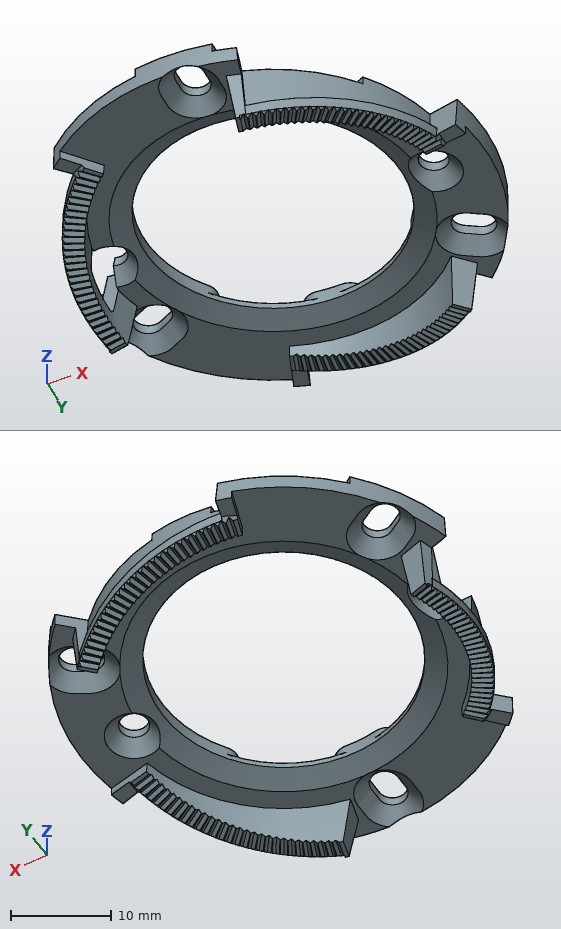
import cadquery as cq
import math

BORE_RADIUS = 14.1
TAB_RADIUS = 23.5
PLATE_THICKNESS = 2.7
BORE_LIP = 1.67
BORE_RELIEF_RADIUS = 16.4
REACH = 60.0
OVERLAP = 0.5
RUN_OUT = 2.0

TAB_COUNT = 3
TAB_SPACING = 360.0 / TAB_COUNT
TAB_CENTRE_ANGLE = 134.66
TAB_SPAN = 59.28
GAP_SPAN = TAB_SPACING - TAB_SPAN
GAP_END_DRAFT = 4.5
GAP_START = TAB_CENTRE_ANGLE + TAB_SPAN / 2.0
GAP_END = GAP_START + GAP_SPAN

OVERALL_HEIGHT = 8.36
SKIRT_BOTTOM = -OVERALL_HEIGHT
SKIRT_INNER_TOP_RADIUS = 18.6
SKIRT_INNER_BOTTOM_RADIUS = 19.05
PILLAR_TOP_RADIUS = 21.4
PILLAR_BOTTOM_RADIUS = 21.1
PILLAR_LEAD = 12.0
PILLAR_WIDTH = 1.3
PILLAR_DRAFT = 9.0
RAMP_RISE = 4.2
RAMP_PITCH = RAMP_RISE * 360.0 / GAP_SPAN
RAMP_OVERRUN = 3.4
GAP_WALL_TOP_RADIUS = 20.0
GAP_WALL_BOTTOM_RADIUS = 20.6

FLANGE_RADIUS = 21.07
FLANGE_THICKNESS = 1.5
FLANGE_CHAMFER = 0.25

RELIEF_INNER_RADIUS = SKIRT_INNER_TOP_RADIUS - 1.0
RELIEF_OUTER_RADIUS = PILLAR_TOP_RADIUS + 1.0
TOOTH_PITCH_ANGLE = 2.25
GROOVE_DEPTH = 0.32
GROOVE_WIDTH = 0.7

BLOCK_DEPTH = 3.66
BLOCK_LEAD = 2.0
BLOCK_INNER_RADIUS = 20.3

RECESS_DEPTH = 1.0
PAD_SIDE_OFFSET = 3.45
PAD_CORNER_RADIUS = 2.0
FLARED_SIDE_OFFSET = 3.47
FLARE_ANGLE = 4.0

HOLE_DIAMETER = 3.1
HOLE_CIRCLE_RADIUS = 17.5
HOLE_ANGLES = (0.0, 180.0)
SLOT_CIRCLE_RADIUS = 20.2
SLOT_STRAIGHT = 1.5
SLOT_ANGLES = (30.0, 150.0, 270.0)
HOLE_SINK_DIAMETER = 5.95
SLOT_SINK_DIAMETER = 6.2
SINK_DEPTH = 1.6

WINDOW_TOP_WIDTH = 7.5
WINDOW_BOTTOM_WIDTH = 5.6
WINDOW_INNER_TOP = 17.87
WINDOW_INNER_BOTTOM = 18.3
WINDOW_CORNER_RADIUS = 0.6


def turn(body, angle):
    """Turn a body about the axis of the ring."""
    return body.rotate((0, 0, 0), (0, 0, 1), angle)


def revolve_sector(points, start, span):
    """Revolve an (r, z) outline through `span` degrees, from the angle `start`."""
    sector = cq.Workplane("XZ").polyline(points).close().revolve(span, (0, 0), (0, 1))
    return turn(sector, start)


def sweep_helix(points, start, span):
    """Carry an (r, z) outline up the ramp helix through `span` degrees, from `start`."""
    path = cq.Wire.makeHelix(RAMP_PITCH, RAMP_PITCH * span / 360.0, FLANGE_RADIUS)
    swept = cq.Workplane("XZ").polyline(points).close().sweep(cq.Workplane(path), isFrenet=True)
    return turn(swept, start)


def make_plate():
    """Ring with the conical relief under its bore and the stop blocks under its rim."""
    plate = revolve_sector(
        [
            (BORE_RADIUS, 0.0),
            (TAB_RADIUS, 0.0),
            (TAB_RADIUS, -BLOCK_DEPTH),
            (BLOCK_INNER_RADIUS, -BLOCK_DEPTH),
            (BLOCK_INNER_RADIUS, -PLATE_THICKNESS),
            (BORE_RELIEF_RADIUS, -PLATE_THICKNESS),
            (BORE_RADIUS, -BORE_LIP),
        ],
        0.0,
        360.0,
    )
    clearance = revolve_sector(
        [
            (BLOCK_INNER_RADIUS - OVERLAP, -PLATE_THICKNESS),
            (REACH, -PLATE_THICKNESS),
            (REACH, SKIRT_BOTTOM),
            (BLOCK_INNER_RADIUS - OVERLAP, SKIRT_BOTTOM),
        ],
        GAP_END + RAMP_OVERRUN,
        TAB_SPACING - RAMP_OVERRUN - BLOCK_LEAD,
    )
    for index in range(TAB_COUNT):
        plate = plate.cut(turn(clearance, index * TAB_SPACING))
    return plate


def ramp_height(angle):
    """Height of the tooth tips at an angle, in the first gap."""
    return SKIRT_BOTTOM + RAMP_RISE * (angle - GAP_START) / GAP_SPAN


def make_ramp_relief():
    """The space below the ramp, with the chamfer along the outer edge of the ramp."""
    floor = 2.0 * SKIRT_BOTTOM
    chamfer_start = FLANGE_RADIUS - FLANGE_CHAMFER
    section = [
        (RELIEF_INNER_RADIUS, floor),
        (RELIEF_OUTER_RADIUS, floor),
        (RELIEF_OUTER_RADIUS, SKIRT_BOTTOM + RELIEF_OUTER_RADIUS - chamfer_start),
        (chamfer_start, SKIRT_BOTTOM),
        (RELIEF_INNER_RADIUS, SKIRT_BOTTOM),
    ]
    return sweep_helix(section, GAP_START, GAP_SPAN + RAMP_OVERRUN)


def make_tooth_grooves():
    """Radial V-grooves that leave the teeth standing between them."""
    half_width = GROOVE_WIDTH / 2.0
    half_rise = half_width * RAMP_RISE / (math.radians(GAP_SPAN) * FLANGE_RADIUS)
    grooves = []
    for number in range(int((GAP_SPAN + RAMP_OVERRUN) / TOOTH_PITCH_ANGLE)):
        angle = GAP_START + (number + 0.5) * TOOTH_PITCH_ANGLE
        outline = [
            (-half_width, -half_rise),
            (0.0, -GROOVE_DEPTH),
            (half_width, half_rise),
            (0.0, GROOVE_DEPTH),
        ]
        groove = cq.Workplane("YZ", origin=(RELIEF_INNER_RADIUS, 0, ramp_height(angle)))
        groove = groove.polyline(outline).close().extrude(RELIEF_OUTER_RADIUS - RELIEF_INNER_RADIUS)
        grooves.append(turn(groove, angle).val())
    return grooves


def make_flange_envelope():
    """The space inside and below the flange of the first gap, up to its sloping top."""
    floor = 2.0 * SKIRT_BOTTOM
    top = SKIRT_BOTTOM + FLANGE_THICKNESS
    section = [(BORE_RADIUS, floor), (FLANGE_RADIUS, floor), (FLANGE_RADIUS, top), (BORE_RADIUS, top)]
    return sweep_helix(section, GAP_START, GAP_SPAN)


def trim_pillar_end(body):
    """Cut the skirt off at the leaning end face of its pillar."""
    before = cq.Workplane("XY").box(REACH, REACH, REACH, centered=(False, False, True))
    before = before.translate((0, -REACH, 0)).rotate((0, 0, 0), (1, 0, 0), PILLAR_DRAFT)
    before = before.translate((0, -PILLAR_WIDTH, -PLATE_THICKNESS))
    return body.cut(turn(before, GAP_START))


def make_skirt():
    """Skirt of the first gap, with its pillar before the gap and its toothed ramp below."""
    top = -PLATE_THICKNESS + OVERLAP
    skirt = revolve_sector(
        [
            (SKIRT_INNER_TOP_RADIUS, top),
            (SKIRT_INNER_TOP_RADIUS, -PLATE_THICKNESS),
            (SKIRT_INNER_BOTTOM_RADIUS, SKIRT_BOTTOM),
            (PILLAR_BOTTOM_RADIUS, SKIRT_BOTTOM),
            (PILLAR_TOP_RADIUS, -PLATE_THICKNESS),
            (PILLAR_TOP_RADIUS, top),
        ],
        GAP_START - PILLAR_LEAD,
        PILLAR_LEAD + GAP_SPAN + RAMP_OVERRUN,
    )
    skirt = trim_pillar_end(skirt).cut(make_ramp_relief())
    return cq.Workplane(skirt.val().cut(*make_tooth_grooves()))


def make_gap_cutter():
    """The space outside the sloping wall of the first gap and above its flange."""
    spread = (GAP_WALL_BOTTOM_RADIUS - GAP_WALL_TOP_RADIUS) / OVERALL_HEIGHT
    top = RUN_OUT
    bottom = SKIRT_BOTTOM - RUN_OUT
    outline = [
        (GAP_WALL_TOP_RADIUS - RUN_OUT * spread, top),
        (GAP_WALL_BOTTOM_RADIUS + RUN_OUT * spread, bottom),
        (REACH, bottom),
        (REACH, top),
    ]
    cutter = revolve_sector(outline, GAP_START, GAP_SPAN)
    slab = cq.Workplane("XY").box(REACH, REACH, REACH, centered=(False, False, True))
    start_side = slab.translate((0, -REACH, 0)).rotate((0, 0, 0), (1, 0, 0), GAP_END_DRAFT)
    end_side = slab.rotate((0, 0, 0), (1, 0, 0), -GAP_END_DRAFT)
    cutter = cutter.cut(turn(start_side, GAP_START)).cut(turn(end_side, GAP_END))
    return cutter.cut(make_flange_envelope(), clean=False)


def pad_side(ray_angle, side, offset, flare):
    """Near and far points of a pad side beside a ray; `side` is +1 anticlockwise of it, -1 clockwise."""
    ray = math.radians(ray_angle)
    spread = math.tan(math.radians(flare))
    points = []
    for along in (0.0, REACH):
        across = side * (offset + along * spread)
        points.append(
            (
                along * math.cos(ray) - across * math.sin(ray),
                along * math.sin(ray) + across * math.cos(ray),
            )
        )
    return points


def make_pad(clockwise_side, anticlockwise_side):
    """Pad between two sides, with rounded corners at the bore."""
    near_cw, far_cw = clockwise_side
    near_acw, far_acw = anticlockwise_side
    pad = cq.Workplane("XY").polyline([near_cw, far_cw, far_acw, near_acw]).close().extrude(-RECESS_DEPTH)
    pad = pad.cut(cq.Workplane("XY").circle(BORE_RADIUS).extrude(-RECESS_DEPTH))
    bore_box = cq.selectors.BoxSelector(
        (-BORE_RADIUS - 1, -BORE_RADIUS - 1, -RECESS_DEPTH), (BORE_RADIUS + 1, BORE_RADIUS + 1, 0)
    )
    return pad.edges("|Z").edges(bore_box).fillet(PAD_CORNER_RADIUS)


def make_recesses():
    """Top layer of the plate without its pads."""
    straight = (PAD_SIDE_OFFSET, 0.0)
    flared = (FLARED_SIDE_OFFSET, FLARE_ANGLE)
    layer = cq.Workplane("XY").circle(TAB_RADIUS + OVERLAP).circle(BORE_RADIUS - OVERLAP)
    layer = layer.extrude(-RECESS_DEPTH)
    pads = [
        make_pad(pad_side(-30.0, -1, *straight), pad_side(30.0, 1, *straight)),
        make_pad(pad_side(90.0, -1, *straight), pad_side(90.0, 1, *straight)),
        make_pad(pad_side(150.0, -1, *flared), pad_side(210.0, 1, *straight)),
        make_pad(pad_side(270.0, -1, *flared), pad_side(270.0, 1, *straight)),
    ]
    for pad in pads:
        layer = layer.cut(pad)
    return layer


def make_screw_opening(radius, length, angle, sink_diameter):
    """Countersunk opening, centred at `radius`, stretched radially by `length`."""
    hole_radius = HOLE_DIAMETER / 2.0
    sink_radius = sink_diameter / 2.0
    sink_top = -PLATE_THICKNESS + SINK_DEPTH
    profile = [
        (0.0, 0.0),
        (hole_radius, 0.0),
        (hole_radius, sink_top),
        (sink_radius, -PLATE_THICKNESS),
        (0.0, -PLATE_THICKNESS),
    ]
    opening = revolve_sector(profile, 0.0, 360.0).translate((radius - length / 2.0, 0, 0))
    if length > 0:
        half_profile = profile[1:4]
        outline = half_profile + [(-y, z) for y, z in reversed(half_profile)]
        middle = cq.Workplane("YZ", origin=(radius - length / 2.0, 0, 0))
        opening = opening.union(middle.polyline(outline).close().extrude(length))
        opening = opening.union(revolve_sector(profile, 0.0, 360.0).translate((radius + length / 2.0, 0, 0)))
    return turn(opening, angle)


def make_window():
    """Tapered notch in the plate that carries on through the skirt down to the flange."""
    half_top = WINDOW_TOP_WIDTH / 2.0
    half_bottom = WINDOW_BOTTOM_WIDTH / 2.0
    half_angle = math.degrees(half_bottom / GAP_WALL_TOP_RADIUS)
    floor_high = ramp_height(180.0 + half_angle) + FLANGE_THICKNESS
    floor_low = ramp_height(180.0 - half_angle) + FLANGE_THICKNESS
    front = cq.Workplane("YZ", origin=(-TAB_RADIUS, 0, 0)).polyline(
        [(-half_top, 0.0), (half_top, 0.0), (half_bottom, floor_low), (-half_bottom, floor_high)]
    )
    window = front.close().extrude(TAB_RADIUS - BORE_RADIUS)
    window = window.edges("|X and (not >Z)").fillet(WINDOW_CORNER_RADIUS)
    side = cq.Workplane("XZ").polyline(
        [
            (-TAB_RADIUS, 0.0),
            (-WINDOW_INNER_TOP, 0.0),
            (-WINDOW_INNER_BOTTOM, -PLATE_THICKNESS),
            (-BORE_RADIUS, -PLATE_THICKNESS),
            (-BORE_RADIUS, SKIRT_BOTTOM),
            (-TAB_RADIUS, SKIRT_BOTTOM),
        ]
    )
    side = side.close().extrude(WINDOW_TOP_WIDTH, both=True)
    return window.intersect(side).cut(make_flange_envelope(), clean=False)


def make_part():
    plate = make_plate().cut(make_recesses())
    for angle in HOLE_ANGLES:
        plate = plate.cut(make_screw_opening(HOLE_CIRCLE_RADIUS, 0.0, angle, HOLE_SINK_DIAMETER))
    for angle in SLOT_ANGLES:
        plate = plate.cut(make_screw_opening(SLOT_CIRCLE_RADIUS, SLOT_STRAIGHT, angle, SLOT_SINK_DIAMETER))
    window = make_window()
    skirt = make_skirt()
    gap_cutter = make_gap_cutter()
    part = plate.cut(window).union(skirt.cut(window, clean=False), clean=False)
    part = part.cut(gap_cutter, clean=False)
    for index in range(1, TAB_COUNT):
        part = part.union(turn(skirt, index * TAB_SPACING), clean=False)
        part = part.cut(turn(gap_cutter, index * TAB_SPACING), clean=False)
    return part


result = make_part()